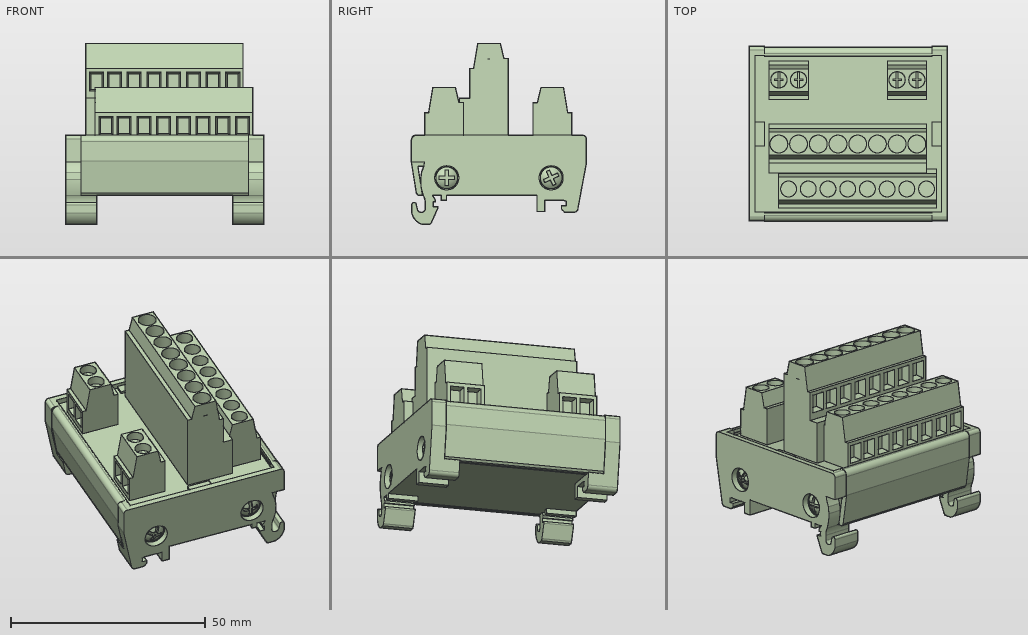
import cadquery as cq
import math

length = 51.0
height = 46.6
rim_z = 22.95
floor_z = 21.5
base_z = 7.45
cap_x = 3.95
foot_x = 8.05
cap_back_y = 22.6
cap_front_y = -22.4

row_width = 40.6
row_poles = 8
pitch = row_width / row_poles
low_top_z = 35.25
overlap = 0.25


def box(x0, x1, y0, y1, z0, z1):
    return cq.Workplane("XY").box(x1 - x0, y1 - y0, z1 - z0, centered=False).translate((x0, y0, z0))


def both_ends(body):
    return body.union(body.mirror("YZ"))


channel_x = length - 2 * cap_x
channel_half_y = 22.45
channel_y = -0.1
channel_bend_z = 16.25
channel_toe_y = 21.1
channel_toe_z = 8.05
channel_toe_flat_y = 20.6
channel_round = 1.6
groove_top_z = 14.95
groove_top_y = 20.65
groove_base_y = 19.5
groove_inner_y = 18.75


def extrude_along_x(sketch, span):
    """Extrude a YZ outline by the given span, centred on X = 0."""
    return sketch.extrude(span / 2, both=True)


def channel():
    side = [
        (channel_toe_flat_y, base_z),
        (channel_toe_y, channel_toe_z),
        (channel_half_y, channel_bend_z),
        (channel_half_y, rim_z),
    ]
    outline = side + [(-y, z) for y, z in reversed(side)]
    body = extrude_along_x(cq.Workplane("YZ").polyline(outline).close(), channel_x)
    body = body.edges("|X and >Z").fillet(channel_round)
    for sign in (1, -1):
        groove = [
            (sign * groove_inner_y, base_z),
            (sign * groove_inner_y, groove_top_z),
            (sign * groove_top_y, groove_top_z),
            (sign * groove_base_y, base_z),
        ]
        body = body.cut(extrude_along_x(cq.Workplane("YZ").polyline(groove).close(), channel_x))
    return body.translate((0, channel_y, 0))


cap_round = 0.95
cap_overhang_z = 16.0
rail_seat_z = 6.15
foot_bottom_z = 3.1
stop_rib_z = 3.25
hook_tip_y = -21.15
hook_tip_z = 5.05
hook_u_back_y = -18.9
hook_u_front_y = -20.9
hook_u_z = 3.95
hook_u_bottom_z = 3.1


def cap_outline():
    """Side outline of a cap: fixed foot at the back, spring hook at the front."""
    hook_tip_mid = ((hook_tip_y + cap_front_y) / 2, hook_tip_z + (hook_tip_y - cap_front_y) / 2)
    hook_u_mid = ((hook_u_back_y + hook_u_front_y) / 2, hook_u_bottom_z)
    round_mid = cap_round * (1 - math.sqrt(0.5))
    return (
        cq.Workplane("YZ")
        .moveTo(cap_back_y - cap_round, rim_z)
        .threePointArc((cap_back_y - round_mid, rim_z - round_mid), (cap_back_y, rim_z - cap_round))
        .lineTo(cap_back_y, 15.65)
        .lineTo(20.45, 4.2)
        .threePointArc((20.2, 3.45), (19.5, foot_bottom_z))
        .lineTo(17.0, foot_bottom_z)
        .lineTo(16.15, 3.95)
        .lineTo(16.15, 4.8)
        .lineTo(17.4, 4.8)
        .lineTo(17.4, 5.9)
        .lineTo(16.75, rail_seat_z)
        .lineTo(11.9, rail_seat_z)
        .lineTo(11.9, stop_rib_z)
        .lineTo(9.85, stop_rib_z)
        .lineTo(9.85, base_z)
        .lineTo(-13.35, base_z)
        .lineTo(-13.35, rail_seat_z)
        .lineTo(-14.8, rail_seat_z)
        .lineTo(-14.8, base_z)
        .lineTo(-17.05, base_z)
        .lineTo(-16.25, 6.3)
        .lineTo(-16.25, 5.75)
        .lineTo(-16.85, 5.75)
        .lineTo(-16.85, 4.6)
        .lineTo(-15.6, 4.6)
        .lineTo(-15.65, 4.15)
        .lineTo(-17.3, 0.45)
        .lineTo(-17.7, 0)
        .lineTo(-19.8, 0)
        .threePointArc((-21.6, 1.35), (cap_front_y, 2.9))
        .lineTo(cap_front_y, hook_tip_z)
        .threePointArc(hook_tip_mid, (hook_tip_y, hook_tip_z))
        .lineTo(hook_u_front_y, hook_u_z)
        .threePointArc(hook_u_mid, (hook_u_back_y, hook_u_z))
        .lineTo(hook_u_back_y, 5.35)
        .threePointArc((-19.05, 6.65), (-19.45, base_z))
        .threePointArc((-19.95, 9.5), (-20.1, 11.6))
        .lineTo(-19.9, 13.4)
        .threePointArc((-19.35, 14.9), (-19.05, cap_overhang_z))
        .lineTo(cap_front_y, cap_overhang_z)
        .lineTo(cap_front_y, rim_z - cap_round)
        .threePointArc(
            (cap_front_y + round_mid, rim_z - round_mid), (cap_front_y + cap_round, rim_z)
        )
        .close()
    )


def cap():
    """Left cap: the outline at full height, with the feet reaching further in below the housing."""
    plate = cap_outline().extrude(cap_x)
    below_base = box(0, foot_x, cap_front_y, cap_back_y, 0, base_z)
    feet = cap_outline().extrude(foot_x).intersect(below_base)
    return plate.union(feet).translate((-length / 2, 0, 0))


recess_half_x = 23.95
recess_half_y = 20.15
channel_recess_y = 20.2
channel_lip_y = 20.0
channel_lip_z = 22.1
cap_tab_x = 21.5
tab_y = 3.05
tab_height = 0.55


def board_recess():
    half_channel = channel_x / 2
    in_cap = box(-recess_half_x, -half_channel, -recess_half_y, recess_half_y, floor_z, rim_z)
    low = box(-half_channel, half_channel, -channel_lip_y, channel_lip_y, floor_z, channel_lip_z)
    high = box(-half_channel, half_channel, -channel_recess_y, channel_recess_y, channel_lip_z, rim_z)
    in_channel = low.union(high).translate((0, channel_y, 0))
    tab = box(-recess_half_x, -cap_tab_x, -tab_y, tab_y, floor_z, floor_z + tab_height)
    return both_ends(in_cap).union(in_channel).cut(both_ends(tab))


screw_z = 12.0
screw_recess_r = 3.1
screw_recess_depth = 1.8
screw_head_r = 2.8
screw_dome = 1.2
cross_length = 4.0
cross_width = 0.85
cross_depth = 0.75
screws = ((13.5, 25.0), (-13.35, 0.0))


def screw_recess():
    return cq.Workplane("YZ").circle(screw_recess_r).extrude(screw_recess_depth)


def screw_head(turn):
    """Domed head rising toward -X from the recess floor, with a cross drive."""
    dome_mid_r = screw_head_r / 2
    sphere_r = (screw_head_r**2 + screw_dome**2) / (2 * screw_dome)
    dome_mid_h = math.sqrt(sphere_r**2 - dome_mid_r**2) - (sphere_r - screw_dome)
    head = (
        cq.Workplane("XY")
        .moveTo(overlap, 0)
        .lineTo(overlap, screw_head_r)
        .lineTo(0, screw_head_r)
        .threePointArc((-dome_mid_h, dome_mid_r), (-screw_dome, 0))
        .close()
        .revolve(360, (0, 0, 0), (1, 0, 0))
    )
    drive = (
        cq.Workplane("YZ")
        .rect(cross_length, cross_width)
        .extrude(-screw_dome)
        .union(cq.Workplane("YZ").rect(cross_width, cross_length).extrude(-screw_dome))
        .translate((cross_depth - screw_dome, 0, 0))
        .rotate((0, 0, 0), (1, 0, 0), turn)
    )
    return head.cut(drive).translate((screw_recess_depth, 0, 0))


def add_end_screws(body):
    for y, turn in screws:
        place = (-length / 2, y, screw_z)
        body = body.cut(both_ends(screw_recess().translate(place)))
        body = body.union(both_ends(screw_head(turn).translate(place)))
    return body


block_depth = 10.0
wire_step_y, wire_step_drop = 1.0, 6.5
back_step_y, back_step_drop = 8.85, 3.9
top_front_y, top_back_y = 2.1, 7.95
hole_y = 4.9
window_width = 3.6
window_height = 4.8
window_drop = 7.45
window_depth = 2.15
window_inset = 0.4
window_shift = -0.15
first_window_shift = 0.25


def block_body(width, top_z):
    """Stepped block with its wire face on Y = 0, starting at X = 0."""
    wire_z = top_z - wire_step_drop
    back_z = top_z - back_step_drop
    outline = [
        (0, floor_z - overlap),
        (0, wire_z),
        (wire_step_y, wire_z),
        (top_front_y, top_z),
        (top_back_y, top_z),
        (back_step_y, back_z),
        (block_depth, back_z),
        (block_depth, floor_z - overlap),
    ]
    return cq.Workplane("YZ").polyline(outline).close().extrude(width)


def wire_window():
    """Tapered opening going in along +Y from the wire face."""
    return (
        cq.Workplane("XZ")
        .rect(window_width, window_height)
        .workplane(offset=-window_depth)
        .rect(window_width - 2 * window_inset, window_height - 2 * window_inset)
        .loft(ruled=True)
    )


def terminal_block(poles, width, top_z, hole_r, hole_depth):
    body = block_body(width, top_z)
    window_z = top_z - window_drop - window_height / 2
    for pole in range(poles):
        x = (pole + 0.5) * pitch
        shift = first_window_shift if pole == 0 else window_shift
        hole = cq.Workplane("XY").circle(hole_r).extrude(-hole_depth)
        body = body.cut(hole.translate((x, hole_y, top_z)))
        body = body.cut(wire_window().translate((x + shift, 0, window_z)))
    return body


row_hole_depth = 4.1
tall_x = -20.4
tall_wire_y = -7.5
tall_hole_r = 2.3
ledge_front_y = -10.1
ledge_z = 32.5
front_x = -17.9
front_wire_y = -19.05
front_hole_r = 2.05


def tall_row():
    block = terminal_block(row_poles, row_width, height, tall_hole_r, row_hole_depth)
    block = block.translate((tall_x, tall_wire_y, 0))
    ledge_back_y = tall_wire_y + block_depth
    ledge = box(tall_x, tall_x + row_width, ledge_front_y, ledge_back_y, floor_z - overlap, ledge_z)
    return block.union(ledge)


def front_row():
    block = terminal_block(row_poles, row_width, low_top_z, front_hole_r, row_hole_depth)
    return block.translate((front_x, front_wire_y, 0))


pair_poles = 2
pair_width = pair_poles * pitch
pair_wire_y = 18.8
pair_hole_r = 2.1
pair_hole_depth = 2.35
slot_width = 0.5
short_slot_length = 2.2
short_slot_width = 0.4
slot_depth = 0.4


def pair_block():
    """Two-pole block facing +Y, with slotted clamping screws at the hole bottoms."""
    block = terminal_block(pair_poles, pair_width, low_top_z, pair_hole_r, pair_hole_depth)
    slot = (
        cq.Workplane("XY")
        .rect(slot_width, 2 * pair_hole_r)
        .extrude(-slot_depth)
        .union(cq.Workplane("XY").rect(short_slot_length, short_slot_width).extrude(-slot_depth))
    )
    for pole in range(pair_poles):
        x = (pole + 0.5) * pitch
        block = block.cut(slot.translate((x, hole_y, low_top_z - pair_hole_depth)))
    turned = block.rotate((0, 0, 0), (0, 0, 1), 180)
    return turned.translate((pair_width, pair_wire_y, 0))


tall_end_x = tall_x + row_width

housing = channel().union(both_ends(cap())).cut(board_recess())
result = add_end_screws(housing).union(tall_row()).union(front_row())
for pair_x in (tall_x, tall_end_x - pair_width):
    result = result.union(pair_block().translate((pair_x, 0, 0)))